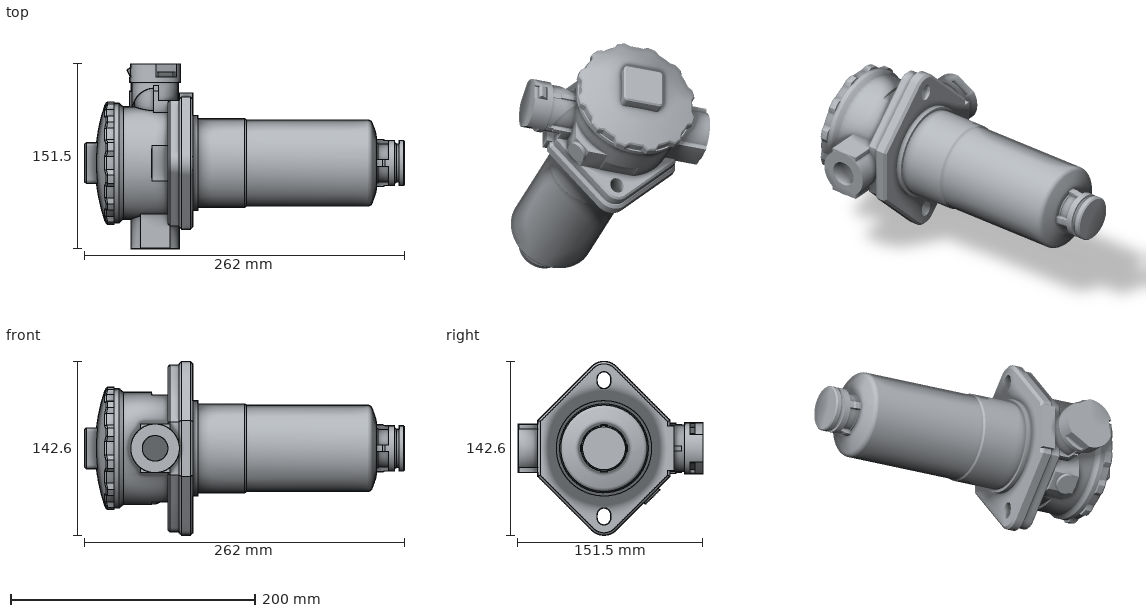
import cadquery as cq
import math

TOTAL_LENGTH = 262.0
LID_APEX_X = 8.6
LID_RIM_X = 17.8
LID_GRIP_END_X = 24.0
LID_COLLAR_X = 28.0
LID_SEAT_X = 30.5
HEAD_START_X = 31.7
SMALL_FLANGE_X = 68.1
LARGE_FLANGE_X = 77.3
FLANGE_END_X = 88.5
STEP_END_X = 92.8
SLEEVE_END_X = 131.0
BOWL_ROUND_X = 232.2
BOWL_END_X = 239.0

LID_RADIUS = 51.0
LID_COLLAR_RADIUS = 49.0
LID_SEAT_RADIUS = 47.0
HEAD_RADIUS = 46.0
STEP_RADIUS = 39.0
SLEEVE_RADIUS = 36.5
BOWL_RADIUS = 35.5
SPIGOT_RADIUS = 18.5
CORE_RADIUS = 15.7

KNOB_WIDTH = 33.5
KNOB_CHAMFER = 1.3
KNOB_CORNER_RADIUS = 3.1
GRIP_CHAMFER = 1.0
LOBE_COUNT = 12
VALLEY_RADIUS = 48.0
VALLEY_TOP_ANGLE = 11.0
VALLEY_FLOOR_ANGLE = 6.5

BOLT_OFFSET = 57.1
LARGE_CORNER_RADIUS = 14.2
LARGE_SIDE_Y = 54.3
FLANGE_STEP = 3.0
LARGE_CHAMFER = 2.0
SMALL_CHAMFER = 1.5
SLOT_WIDTH = 11.0
SLOT_LENGTH = 13.5
SLOT_OFFSET = 55.8
EAR_Y = 57.5
EAR_WIDTH = 36.7
SPOTFACE_X = 55.0
SPOTFACE_Z = 43.8
SPOTFACE_SLOPE = 1.0

PORT_X = 57.7
INLET_END_Y = -70.2
INLET_RADIUS = 20.0
INLET_BORE_RADIUS = 10.5
INLET_BLOCK_START_X = 45.9
INLET_BLOCK_END_X = 70.0
INLET_BLOCK_SETBACK = 0.5
OUTLET_END_Y = 81.3
RING_START_Y = 66.0
RING_RADIUS = 21.0
NECK_RADIUS = 19.1
NECK_CORE_RADIUS = 17.0
ARCH_START_X = 39.0
ARCH_END_X = 56.4
ARCH_LOW_Y = 42.0
ARCH_HIGH_Y = 61.3
WINDOW_START_Y = 70.5
LATCH_DEPTH = 3.1
LATCH_WIDTH = 12.3
TOOTH_WIDTH = 10.0
TOOTH_HEIGHT = 2.0
TOOTH_START_Y = 71.8
TOOTH_PEAK_Y = 76.3
TOOTH_END_Y = 77.8
SIDE_WINDOW_ANGLE = 120
SIDE_WINDOW_WIDTH = 19.5
SIDE_SLOT_MARGIN = 1.5
SIDE_WINDOW_DEPTH = 2.4
SIDE_SLOT_DEPTH = 5.8
SIDE_SLOT_END_Y = 74.5

PLUG_X = 55.5
PLUG_RADIUS = 8.5
PLUG_SEAT = 53.2
PLUG_HEIGHT = 3.1
BOSS_SIDE = 43.2
BOSS_START_X = 45.9


def revolve_x(points):
    """Close a list of (x, radius) points onto the X axis and revolve it."""
    return cq.Workplane("XY").polyline(points).close().revolve(360, (0, 0, 0), (1, 0, 0))


def cylinder_x(start, end, radius):
    return cq.Workplane("YZ", origin=(start, 0, 0)).circle(radius).extrude(end - start)


def cylinder_y(start, end, radius):
    """Cylinder on the port axis between two Y stations."""
    plane = cq.Plane(origin=(PORT_X, start, 0), xDir=(1, 0, 0), normal=(0, 1, 0))
    return cq.Workplane(plane).circle(radius).extrude(end - start)


def box(x0, x1, y0, y1, z0, z1):
    return cq.Workplane("XY").box(x1 - x0, y1 - y0, z1 - z0, centered=False).translate((x0, y0, z0))


def polar(radius, degrees):
    angle = math.radians(degrees)
    return (radius * math.cos(angle), radius * math.sin(angle))


def make_lid():
    """Domed lid with a lobed grip, a plain collar and a square knob."""
    dome_sag = (LID_RIM_X - LID_APEX_X) / 4
    dome = (
        cq.Workplane("XY")
        .moveTo(LID_APEX_X, 0)
        .threePointArc((LID_APEX_X + dome_sag, LID_RADIUS / 2), (LID_RIM_X, LID_RADIUS))
        .lineTo(LID_GRIP_END_X, LID_RADIUS)
        .lineTo(LID_GRIP_END_X, 0)
        .close()
        .revolve(360, (0, 0, 0), (1, 0, 0))
    )
    valley_outer = LID_RADIUS + 2.5
    valley_outer_angle = VALLEY_TOP_ANGLE + 2
    valley = (
        cq.Workplane("YZ")
        .moveTo(*polar(valley_outer, -valley_outer_angle))
        .lineTo(*polar(LID_RADIUS, -VALLEY_TOP_ANGLE))
        .lineTo(*polar(VALLEY_RADIUS, -VALLEY_FLOOR_ANGLE))
        .threePointArc((VALLEY_RADIUS, 0), polar(VALLEY_RADIUS, VALLEY_FLOOR_ANGLE))
        .lineTo(*polar(LID_RADIUS, VALLEY_TOP_ANGLE))
        .lineTo(*polar(valley_outer, valley_outer_angle))
        .close()
        .extrude(LID_GRIP_END_X)
    )
    for index in range(LOBE_COUNT):
        dome = dome.cut(valley.rotate((0, 0, 0), (1, 0, 0), index * 360 / LOBE_COUNT))
    dome = dome.faces("<X").edges().chamfer(GRIP_CHAMFER)
    collar = revolve_x([
        (LID_RIM_X, 0),
        (LID_RIM_X, VALLEY_RADIUS),
        (LID_GRIP_END_X, VALLEY_RADIUS),
        (LID_GRIP_END_X, LID_COLLAR_RADIUS),
        (LID_COLLAR_X, LID_COLLAR_RADIUS),
        (LID_SEAT_X, LID_SEAT_RADIUS),
        (HEAD_START_X, HEAD_RADIUS),
        (HEAD_START_X, 0),
    ])
    knob = (
        cq.Workplane("YZ")
        .rect(KNOB_WIDTH, KNOB_WIDTH)
        .extrude(LID_RIM_X)
        .edges("|X")
        .fillet(KNOB_CORNER_RADIUS)
        .faces("<X")
        .chamfer(KNOB_CHAMFER)
    )
    return dome.union(collar).union(knob)


def make_diamond(start, end, corner_radius, side_y):
    """Diamond plate with round top and bottom corners and flat sides."""
    tangent = corner_radius * math.sqrt(0.5)
    top = BOLT_OFFSET + corner_radius
    shoulder_z = BOLT_OFFSET + 2 * tangent - side_y
    return (
        cq.Workplane("YZ", origin=(start, 0, 0))
        .moveTo(side_y, -shoulder_z)
        .lineTo(side_y, shoulder_z)
        .lineTo(tangent, BOLT_OFFSET + tangent)
        .threePointArc((0, top), (-tangent, BOLT_OFFSET + tangent))
        .lineTo(-side_y, shoulder_z)
        .lineTo(-side_y, -shoulder_z)
        .lineTo(-tangent, -BOLT_OFFSET - tangent)
        .threePointArc((0, -top), (tangent, -BOLT_OFFSET - tangent))
        .close()
        .extrude(end - start)
    )


def make_flanges():
    large = make_diamond(LARGE_FLANGE_X, FLANGE_END_X, LARGE_CORNER_RADIUS, LARGE_SIDE_Y)
    large = large.faces("<X or >X").chamfer(LARGE_CHAMFER)
    small = make_diamond(
        SMALL_FLANGE_X, LARGE_FLANGE_X, LARGE_CORNER_RADIUS - FLANGE_STEP, LARGE_SIDE_Y - FLANGE_STEP
    )
    small = small.faces("<X").chamfer(SMALL_CHAMFER)
    ear = box(LARGE_FLANGE_X, FLANGE_END_X, 0, EAR_Y, -EAR_WIDTH / 2, EAR_WIDTH / 2)
    return large.union(small).union(ear)


def make_bolt_slots():
    return (
        cq.Workplane("YZ", origin=(SMALL_FLANGE_X, 0, 0))
        .pushPoints([(0, SLOT_OFFSET), (0, -SLOT_OFFSET)])
        .slot2D(SLOT_LENGTH, SLOT_WIDTH, 90)
        .extrude(FLANGE_END_X - SMALL_FLANGE_X)
    )


def make_head():
    """Cylindrical head with a bolt clearance flat above and below."""
    head = cylinder_x(HEAD_START_X, LARGE_FLANGE_X, HEAD_RADIUS)
    clearance = (
        cq.Workplane("XZ")
        .moveTo(SPOTFACE_X, SPOTFACE_Z)
        .lineTo(SMALL_FLANGE_X, SPOTFACE_Z)
        .lineTo(SMALL_FLANGE_X, LID_RADIUS)
        .lineTo(SPOTFACE_X - SPOTFACE_SLOPE, LID_RADIUS)
        .close()
        .extrude(HEAD_RADIUS, both=True)
    )
    return head.cut(clearance).cut(clearance.mirror("XY"))


def make_bowl():
    """Stepped sleeve and bowl behind the flanges, closed by a rounded end."""
    sleeve_taper = 1.5
    corner_mid = (234.3, 34.3)
    corner_end = (235.5, 32.2)
    crown_mid = (237.7, 27.0)
    flat_radius = 21.0
    step = cylinder_x(FLANGE_END_X, STEP_END_X, STEP_RADIUS)
    tube = (
        cq.Workplane("XY")
        .moveTo(FLANGE_END_X, 0)
        .lineTo(FLANGE_END_X, SLEEVE_RADIUS)
        .lineTo(SLEEVE_END_X, SLEEVE_RADIUS)
        .lineTo(SLEEVE_END_X + sleeve_taper, BOWL_RADIUS)
        .lineTo(BOWL_ROUND_X, BOWL_RADIUS)
        .threePointArc(corner_mid, corner_end)
        .threePointArc(crown_mid, (BOWL_END_X, flat_radius))
        .lineTo(BOWL_END_X, 0)
        .close()
        .revolve(360, (0, 0, 0), (1, 0, 0))
    )
    return step.union(tube)


def make_spigot():
    """Tail spigot: four ribs around a core, then a ring grooved for a seal."""
    window_end = 249.0
    groove_start = 254.0
    groove_floor_x = 255.3
    groove_lip_radius = 16.8
    groove_end = 257.6
    tip_chamfer = 1.0
    rib_width = 5.5
    rib_step_x = 244.0
    rib_taper_x = 245.8
    rib_step_radius = 19.5
    root_x = 240.3
    root_radius = 16.5
    spigot = revolve_x([
        (BOWL_END_X, 0),
        (BOWL_END_X, root_radius),
        (root_x, root_radius),
        (root_x, CORE_RADIUS),
        (window_end, CORE_RADIUS),
        (window_end, SPIGOT_RADIUS),
        (groove_start, SPIGOT_RADIUS),
        (groove_start, groove_lip_radius),
        (groove_floor_x, CORE_RADIUS),
        (groove_end, CORE_RADIUS),
        (groove_end, SPIGOT_RADIUS),
        (TOTAL_LENGTH - tip_chamfer, SPIGOT_RADIUS),
        (TOTAL_LENGTH, SPIGOT_RADIUS - tip_chamfer),
        (TOTAL_LENGTH, 0),
    ])
    rib_disc = revolve_x([
        (BOWL_END_X, 0),
        (BOWL_END_X, rib_step_radius),
        (rib_step_x, rib_step_radius),
        (rib_taper_x, SPIGOT_RADIUS),
        (window_end, SPIGOT_RADIUS),
        (window_end, 0),
    ])
    half = rib_width / 2
    reach = rib_step_radius
    cross = box(BOWL_END_X, window_end, -half, half, -reach, reach)
    cross = cross.union(box(BOWL_END_X, window_end, -reach, reach, -half, half))
    return spigot.union(rib_disc.intersect(cross))


def make_inlet():
    """Round port towards -Y with a flat-sided block through it."""
    port = cylinder_y(INLET_END_Y, 0, INLET_RADIUS)
    block = box(
        INLET_BLOCK_START_X, INLET_BLOCK_END_X,
        INLET_END_Y + INLET_BLOCK_SETBACK, 0,
        -INLET_RADIUS, INLET_RADIUS,
    )
    return port.union(block)


def make_inlet_bore():
    return cylinder_y(INLET_END_Y, -HEAD_RADIUS / 2, INLET_BORE_RADIUS)


def make_ring():
    """End ring of the outlet: a latch with a tooth at -X and two stepped side windows."""
    ring = cylinder_y(RING_START_Y, OUTLET_END_Y, RING_RADIUS)
    floor_radius = RING_RADIUS - LATCH_DEPTH
    latch_half_width = LATCH_WIDTH / 2
    latch = box(
        PORT_X - RING_RADIUS, PORT_X - floor_radius,
        WINDOW_START_Y, OUTLET_END_Y,
        -latch_half_width, latch_half_width,
    )
    tooth = (
        cq.Workplane("XY")
        .moveTo(PORT_X - floor_radius, WINDOW_START_Y)
        .lineTo(PORT_X - RING_RADIUS, TOOTH_START_Y)
        .lineTo(PORT_X - RING_RADIUS - TOOTH_HEIGHT, TOOTH_PEAK_Y)
        .lineTo(PORT_X - RING_RADIUS, TOOTH_END_Y)
        .lineTo(PORT_X - floor_radius, TOOTH_END_Y)
        .close()
        .extrude(TOOTH_WIDTH / 2, both=True)
    )
    ring = ring.cut(latch).union(tooth)

    half_width = SIDE_WINDOW_WIDTH / 2
    slot_half_width = half_width - SIDE_SLOT_MARGIN
    window = box(
        PORT_X - RING_RADIUS, PORT_X - RING_RADIUS + SIDE_WINDOW_DEPTH,
        WINDOW_START_Y, OUTLET_END_Y,
        -half_width, half_width,
    )
    slot = box(
        PORT_X - RING_RADIUS, PORT_X - RING_RADIUS + SIDE_SLOT_DEPTH,
        WINDOW_START_Y, SIDE_SLOT_END_Y,
        -slot_half_width, slot_half_width,
    )
    side_window = window.union(slot)
    for angle in (SIDE_WINDOW_ANGLE, -SIDE_WINDOW_ANGLE):
        ring = ring.cut(side_window.rotate((PORT_X, 0, 0), (PORT_X, 1, 0), angle))
    return ring


def make_outlet():
    """Outlet towards +Y: arched neck sleeve on a core, clamp block, ribs and end ring."""
    arch_mid = (
        ARCH_END_X - (ARCH_END_X - ARCH_START_X) * math.sqrt(0.5),
        ARCH_LOW_Y + (ARCH_HIGH_Y - ARCH_LOW_Y) * math.sqrt(0.5),
    )
    arch = (
        cq.Workplane("XY")
        .moveTo(ARCH_START_X, 0)
        .lineTo(ARCH_START_X, ARCH_LOW_Y)
        .threePointArc(arch_mid, (ARCH_END_X, ARCH_HIGH_Y))
        .lineTo(ARCH_END_X, 0)
        .close()
        .extrude(RING_RADIUS, both=True)
    )
    sleeve = cylinder_y(0, RING_START_Y, NECK_RADIUS).cut(arch)
    core = cylinder_y(0, RING_START_Y, NECK_CORE_RADIUS)

    post_end_x = 60.5
    block_top_y = 51.0
    post_step_y = 59.0
    post_top_y = 63.7
    block_z = 20.7
    post_tip_z = 19.7
    block = box(ARCH_END_X, LARGE_FLANGE_X, 0, block_top_y, -block_z, block_z)
    post = box(ARCH_END_X, post_end_x, 0, post_step_y, -block_z, block_z)
    post_tip = box(ARCH_END_X, post_end_x, 0, post_top_y, -post_tip_z, post_tip_z)

    rib_z = 2.0
    front_rib_reach = 21.0
    rear_rib_reach = 19.1
    front_rib = box(PORT_X - front_rib_reach, PORT_X, 0, post_step_y, -rib_z, rib_z)
    front_rib_tip = box(PORT_X - post_tip_z, PORT_X, 0, RING_START_Y, -rib_z, rib_z)
    rear_rib = box(PORT_X, PORT_X + rear_rib_reach, 0, post_top_y, -rib_z, rib_z)

    outlet = sleeve.union(core)
    for piece in (block, post, post_tip, front_rib, front_rib_tip, rear_rib, make_ring()):
        outlet = outlet.union(piece)
    return outlet


def make_gauge_port():
    """Corner boss with a round plug, facing +Y and -Z equally."""
    boss = box(BOSS_START_X, SMALL_FLANGE_X, 0, BOSS_SIDE, -BOSS_SIDE, 0)
    diagonal = cq.Plane(origin=(PLUG_X, 0, 0), xDir=(1, 0, 0), normal=(0, 1, -1))
    trim = cq.Workplane(diagonal).rect(2 * BOSS_SIDE, 2 * BOSS_SIDE).extrude(PLUG_SEAT)
    plug = cq.Workplane(diagonal).circle(PLUG_RADIUS).extrude(PLUG_SEAT + PLUG_HEIGHT)
    return boss.intersect(trim).union(plug)


result = (
    make_head()
    .union(make_lid())
    .union(make_flanges())
    .union(make_bowl())
    .union(make_spigot())
    .union(make_inlet())
    .union(make_outlet())
    .union(make_gauge_port())
    .cut(make_bolt_slots())
    .cut(make_inlet_bore())
)